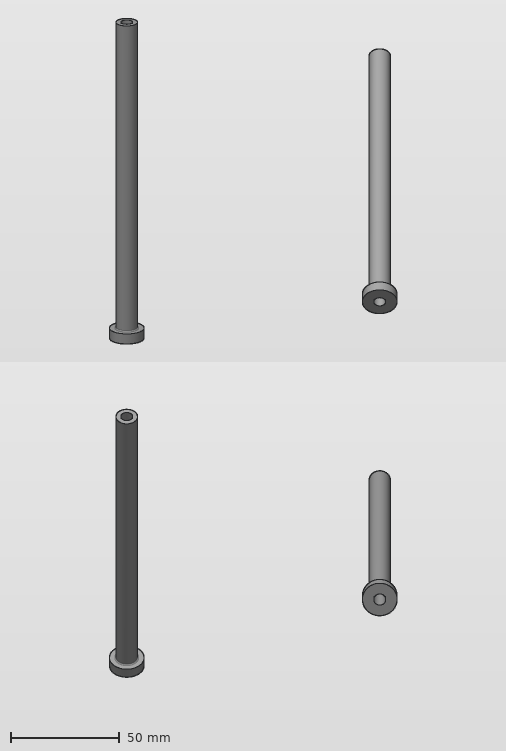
import cadquery as cq

overall_length = 155.0
head_diameter = 16.0
head_thickness = 5.0
shank_diameter = 10.0
bore_diameter = 5.5
neck_fillet_radius = 0.5

head_radius = head_diameter / 2
shank_radius = shank_diameter / 2


def sleeve_body():
    """Solid of revolution: flat head, filleted neck and long shank along +Z."""
    profile = (
        cq.Workplane("XZ")
        .moveTo(0, 0)
        .lineTo(head_radius, 0)
        .lineTo(head_radius, head_thickness)
        .lineTo(shank_radius + neck_fillet_radius, head_thickness)
        .radiusArc((shank_radius, head_thickness + neck_fillet_radius), neck_fillet_radius)
        .lineTo(shank_radius, overall_length)
        .lineTo(0, overall_length)
        .close()
    )
    return profile.revolve(360, (0, 0, 0), (0, 1, 0))


def through_bore():
    """Axial bore running the full length of the sleeve."""
    return cq.Workplane("XY").circle(bore_diameter / 2).extrude(overall_length)


result = sleeve_body().cut(through_bore())